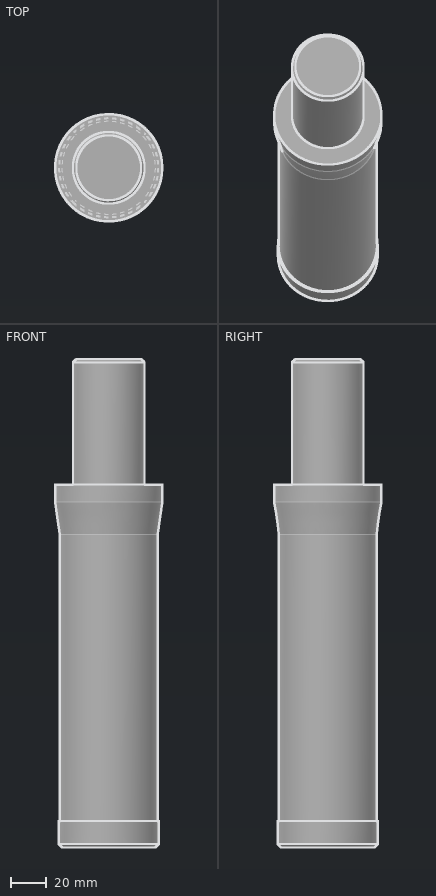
import cadquery as cq

total_height = 273.0

rod_diameter = 40.0
rod_length = 70.2
rod_chamfer = 2.0

collar_diameter = 60.0
collar_height = 9.8
flare_height = 18.0
barrel_diameter = 55.0
foot_diameter = 56.0
foot_height = 14.7
foot_chamfer = 2.0

housing_height = total_height - rod_length
collar_bottom = housing_height - collar_height
flare_bottom = collar_bottom - flare_height

collar_radius = collar_diameter / 2
barrel_radius = barrel_diameter / 2
foot_radius = foot_diameter / 2


def make_housing():
    """Solid of revolution: chamfered foot, barrel, conical flare and collar."""
    return (
        cq.Workplane("XZ")
        .moveTo(0, 0)
        .lineTo(foot_radius - foot_chamfer, 0)
        .lineTo(foot_radius, foot_chamfer)
        .lineTo(foot_radius, foot_height)
        .lineTo(barrel_radius, foot_height)
        .lineTo(barrel_radius, flare_bottom)
        .lineTo(collar_radius, collar_bottom)
        .lineTo(collar_radius, housing_height)
        .lineTo(0, housing_height)
        .close()
        .revolve(360, (0, 0), (0, 1))
    )


def make_rod():
    """Round rod on the collar's top face, with a chamfered upper end."""
    return (
        cq.Workplane("XY", origin=(0, 0, housing_height))
        .circle(rod_diameter / 2)
        .extrude(rod_length)
        .faces(">Z")
        .chamfer(rod_chamfer)
    )


housing = make_housing()
rod = make_rod()

result = cq.Compound.makeCompound([housing.val(), rod.val()])